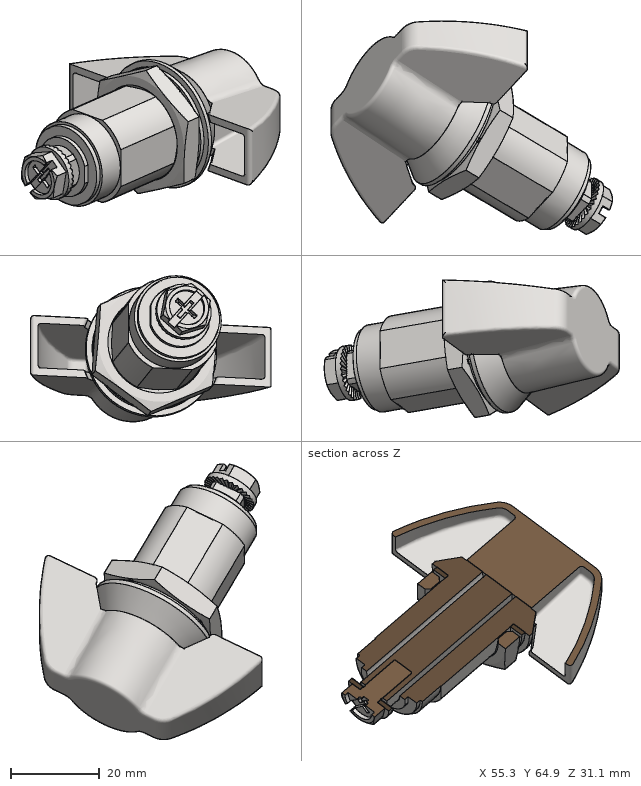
import cadquery as cq
import math


HANDLE_TOP = 24.35
FLANGE_TOP = 6.05
CONE_END = 1.05
WING_END = -0.1
GASKET_END = -1.05
NUT_TOP = -1.55
NUT_END = -6.35
FLATS_END = -24.0
SLEEVE_END = -30.05
END_STEP_END = -31.2
COLLAR_END = -32.3
SHAFT_END = -35.4
WASHER_TOP = -35.5
TOOTH_ROOT = -35.95
WASHER_END = -37.1
SCREW_END = -40.55

BARREL_TOP_R = 10.4
BARREL_BASE_R = 11.4
WING_SPAN = 55.3
WING_WIDEST = 0.85
WING_ARC_R = 65.2
WING_ARC_Y = -18.0
WING_CORNER_R = 4.55
WING_BASE_HALF = 6.95
WING_TAPER = 5.0
WING_WALL = 1.75
WING_EDGE_R = 0.85
TIP_R = 0.85
BARREL_BLEND_R = 2.2
TRIM = 1.95
CAVITY_INNER_X = 10.0
CAVITY_EDGE_R = 0.8
FLANGE_GAP = 1.0
MOUTH_R = 1.0

FLANGE_R = 15.0
THREAD_R = 11.1
FLATS_WIDTH = 20.25
SLEEVE_R = 10.0
END_STEP_R = 9.35
COLLAR_R = 7.0
COLLAR_FLATS = 13.4
GASKET_R = 13.6
NUT_WIDTH = 27.0
NUT_TURN = 85.4
NUT_BORE_R = 10.285
NUT_MOUTH_R = 11.3
NUT_FACE_R = 13.4
NUT_CHAMFER = 0.6
RIB_COUNT = 4
RIB_TURN = 57.5
RIB_INNER_R = 11.95
RIB_OUTER_R = 13.1
RIB_WIDTH = 1.05

SHAFT_WIDTH = 8.05
SHAFT_R = 5.05
SCREW_R = 2.6
SCREW_REACH = 9.75
WASHER_R = 6.2
TOOTH_COUNT = 30
HEAD_WIDTH = 10.0
HEAD_TURN = 79.4
HEAD_FACE_R = 4.9
HEAD_CHAMFER = 0.4
RECESS_R = 4.0
RECESS_DEPTH = 1.0
SLOT_WIDTH = 1.95
SLOT_DEPTH = 1.95
CROSS_WIDTH = 0.9
CROSS_DEPTH = 2.6
CROSS_TOP_REACH = 2.9
CROSS_FLOOR_REACH = 2.15


def at(y):
    """Sketch plane across the axis, drawn in X and Z, extruding towards -Y."""
    return cq.Workplane("XZ", origin=(0, y, 0))


def rod(radius, y_from, y_to):
    return at(y_from).circle(radius).extrude(y_from - y_to)


def revolved(points):
    """Solid of revolution about the lock axis from (radius, y) points."""
    return cq.Workplane("XY").polyline(points).close().revolve(360, (0, 0, 0), (0, 1, 0))


def square_rod(radius, width, y_from, y_to):
    """Round rod with four flats."""
    block = at(y_from).rect(width, width).extrude(y_from - y_to)
    return rod(radius, y_from, y_to).intersect(block)


def hex_prism(width, turn, y_from, y_to):
    corner_diameter = width / math.cos(math.radians(30))
    prism = at(y_from).polygon(6, corner_diameter).extrude(y_from - y_to)
    return prism.rotate((0, 0, 0), (0, 1, 0), -turn)


def wing_half(y):
    return WING_BASE_HALF - (y - WING_END) * math.tan(math.radians(WING_TAPER))


def wing_plan(inset, y_end):
    """Straight prism along Z with the outline of both wings, shrunk by the inset."""
    arc_x = WING_SPAN / 2 - math.sqrt(WING_ARC_R ** 2 - (WING_WIDEST - WING_ARC_Y) ** 2)
    y_top = HANDLE_TOP - inset
    plan = cq.Workplane("XY").center(0, (y_top + y_end) / 2)
    plan = plan.rect(2 * WING_SPAN, y_top - y_end).extrude(WING_SPAN, both=True)
    for side in (-1, 1):
        disc = cq.Workplane("XY").center(side * arc_x, WING_ARC_Y).circle(WING_ARC_R - inset)
        plan = plan.intersect(disc.extrude(WING_SPAN, both=True))
    return plan.edges("|Z and >Y").fillet(WING_CORNER_R - inset)


def wing_block(inset, y_end):
    """Both wings as one slab that thins towards the top, shrunk by the inset."""
    base_half = wing_half(y_end) - inset
    top_half = wing_half(HANDLE_TOP) - inset
    slab = (
        cq.Workplane("YZ")
        .polyline([
            (y_end, base_half), (HANDLE_TOP, top_half), (HANDLE_TOP, -top_half), (y_end, -base_half),
        ])
        .close()
        .extrude(WING_SPAN, both=True)
    )
    return wing_plan(inset, y_end).intersect(slab)


def make_handle():
    wings = wing_block(0, WING_END - TRIM)
    barrel = revolved([
        (0, FLANGE_TOP), (BARREL_BASE_R, FLANGE_TOP), (BARREL_TOP_R, HANDLE_TOP), (0, HANDLE_TOP),
    ])
    handle = wings.union(barrel)
    blend_zone = cq.selectors.BoxSelector(
        (-BARREL_BASE_R, (FLANGE_TOP + HANDLE_TOP) / 2 - 0.65, -BARREL_BASE_R),
        (BARREL_BASE_R, (FLANGE_TOP + HANDLE_TOP) / 2 + 0.65, BARREL_BASE_R),
    )
    handle = handle.edges(blend_zone).fillet(BARREL_BLEND_R)
    handle = handle.faces(">Y").edges().fillet(WING_EDGE_R)
    tip_shape = wing_plan(0, WING_END).edges("|Z and <Y").fillet(TIP_R)
    handle = handle.intersect(tip_shape)

    clearance_r = FLANGE_R + FLANGE_GAP
    arc_offset = MOUTH_R * (1 - math.sqrt(0.5))
    clearance = (
        cq.Workplane("XY")
        .moveTo(0, WING_END)
        .lineTo(clearance_r + MOUTH_R, WING_END)
        .threePointArc(
            (clearance_r + arc_offset, WING_END + arc_offset), (clearance_r, WING_END + MOUTH_R)
        )
        .lineTo(clearance_r, CONE_END)
        .lineTo(BARREL_BASE_R + FLANGE_GAP, FLANGE_TOP)
        .lineTo(0, FLANGE_TOP)
        .close()
        .revolve(360, (0, 0, 0), (0, 1, 0))
    )
    handle = handle.cut(clearance)

    cavity = wing_block(WING_WALL, WING_END)
    cavity = cavity.faces(">Y").edges().fillet(CAVITY_EDGE_R)
    core = cq.Workplane("XY").box(2 * CAVITY_INNER_X, 4 * HANDLE_TOP, WING_SPAN)
    cavity = cavity.cut(core)
    inner_edges = cq.selectors.BoxSelector(
        (-CAVITY_INNER_X - TRIM, FLANGE_TOP, -WING_SPAN), (CAVITY_INNER_X + TRIM, HANDLE_TOP / 2, WING_SPAN)
    )
    cavity = cavity.edges(inner_edges).fillet(CAVITY_EDGE_R)
    return handle.cut(cavity)


def make_housing():
    flange = revolved([
        (0, 0), (FLANGE_R, 0), (FLANGE_R, CONE_END), (BARREL_BASE_R, FLANGE_TOP), (0, FLANGE_TOP),
    ])
    threaded = square_rod(THREAD_R, FLATS_WIDTH, 0, FLATS_END)
    sleeve = rod(SLEEVE_R, FLATS_END, SLEEVE_END)
    end_step = rod(END_STEP_R, SLEEVE_END, END_STEP_END)
    collar = rod(COLLAR_R, END_STEP_END, COLLAR_END).intersect(
        at(END_STEP_END).rect(COLLAR_FLATS, 2 * COLLAR_R).extrude(END_STEP_END - COLLAR_END)
    )
    housing = flange.union(threaded).union(sleeve).union(end_step).union(collar)
    return housing.cut(rod(SHAFT_R, FLANGE_TOP, COLLAR_END))


def make_gasket():
    ring = rod(GASKET_R, 0, GASKET_END)
    return ring.cut(square_rod(THREAD_R, FLATS_WIDTH, 0, GASKET_END))


def make_nut():
    corner_r = NUT_WIDTH / 2 / math.cos(math.radians(30))
    blank = revolved([
        (0, NUT_END), (NUT_FACE_R, NUT_END), (corner_r, NUT_END + NUT_CHAMFER),
        (corner_r, NUT_TOP - NUT_CHAMFER), (NUT_FACE_R, NUT_TOP), (0, NUT_TOP),
    ])
    nut = hex_prism(NUT_WIDTH, NUT_TURN, NUT_TOP, NUT_END).intersect(blank)

    rib_length = RIB_OUTER_R - RIB_INNER_R
    rib = (
        at(GASKET_END)
        .center((RIB_INNER_R + RIB_OUTER_R) / 2, 0)
        .rect(rib_length, RIB_WIDTH)
        .extrude(GASKET_END - NUT_TOP)
    )
    for i in range(RIB_COUNT):
        turn = RIB_TURN + i * 360 / RIB_COUNT
        nut = nut.union(rib.rotate((0, 0, 0), (0, 1, 0), -turn))

    mouth_depth = NUT_MOUTH_R - NUT_BORE_R
    bore = revolved([
        (0, NUT_END), (NUT_MOUTH_R, NUT_END), (NUT_BORE_R, NUT_END + mouth_depth),
        (NUT_BORE_R, NUT_TOP - mouth_depth), (NUT_MOUTH_R, NUT_TOP), (0, NUT_TOP),
    ])
    return nut.cut(bore).cut(square_rod(THREAD_R, FLATS_WIDTH, 0, FLATS_END))


def make_shaft():
    square = square_rod(SHAFT_R, SHAFT_WIDTH, FLANGE_TOP, SHAFT_END)
    return square.cut(rod(SCREW_R, SHAFT_END + SCREW_REACH, SHAFT_END))


def make_washer():
    washer = rod(WASHER_R, WASHER_TOP, WASHER_END).cut(rod(SCREW_R, WASHER_TOP, WASHER_END))

    half_pitch = math.pi * WASHER_R / TOOTH_COUNT
    groove = (
        cq.Workplane("YZ")
        .polyline([(WASHER_TOP, -half_pitch), (TOOTH_ROOT, 0), (WASHER_TOP, half_pitch)])
        .close()
        .extrude(WASHER_R)
    )
    for i in range(TOOTH_COUNT):
        washer = washer.cut(groove.rotate((0, 0, 0), (0, 1, 0), i * 360 / TOOTH_COUNT))
    return washer


def make_screw():
    corner_r = HEAD_WIDTH / 2 / math.cos(math.radians(30))
    blank = revolved([
        (0, SCREW_END), (HEAD_FACE_R, SCREW_END), (corner_r, SCREW_END + HEAD_CHAMFER),
        (corner_r, WASHER_END), (0, WASHER_END),
    ])
    head = hex_prism(HEAD_WIDTH, HEAD_TURN, WASHER_END, SCREW_END).intersect(blank)
    screw = head.union(rod(SCREW_R, SHAFT_END + SCREW_REACH, WASHER_END))

    screw = screw.cut(rod(RECESS_R, SCREW_END + RECESS_DEPTH, SCREW_END))
    slot_turn = HEAD_TURN - 30
    slot = at(SCREW_END + SLOT_DEPTH).rect(2 * HEAD_WIDTH, SLOT_WIDTH).extrude(SLOT_DEPTH)
    screw = screw.cut(slot.rotate((0, 0, 0), (0, 1, 0), -slot_turn))

    top_y = SCREW_END + RECESS_DEPTH
    floor_y = SCREW_END + CROSS_DEPTH
    arm = (
        cq.Workplane("XY")
        .polyline([
            (-CROSS_TOP_REACH, top_y), (CROSS_TOP_REACH, top_y),
            (CROSS_FLOOR_REACH, floor_y), (-CROSS_FLOOR_REACH, floor_y),
        ])
        .close()
        .extrude(CROSS_WIDTH / 2, both=True)
    )
    for turn in (slot_turn, slot_turn + 90):
        screw = screw.cut(arm.rotate((0, 0, 0), (0, 1, 0), -turn))
    return screw


handle = make_handle()
housing = make_housing()
gasket = make_gasket()
nut = make_nut()
shaft = make_shaft()
washer = make_washer()
screw = make_screw()

result = cq.Compound.makeCompound([
    handle.val(),
    housing.val(),
    gasket.val(),
    nut.val(),
    shaft.val(),
    washer.val(),
    screw.val(),
])